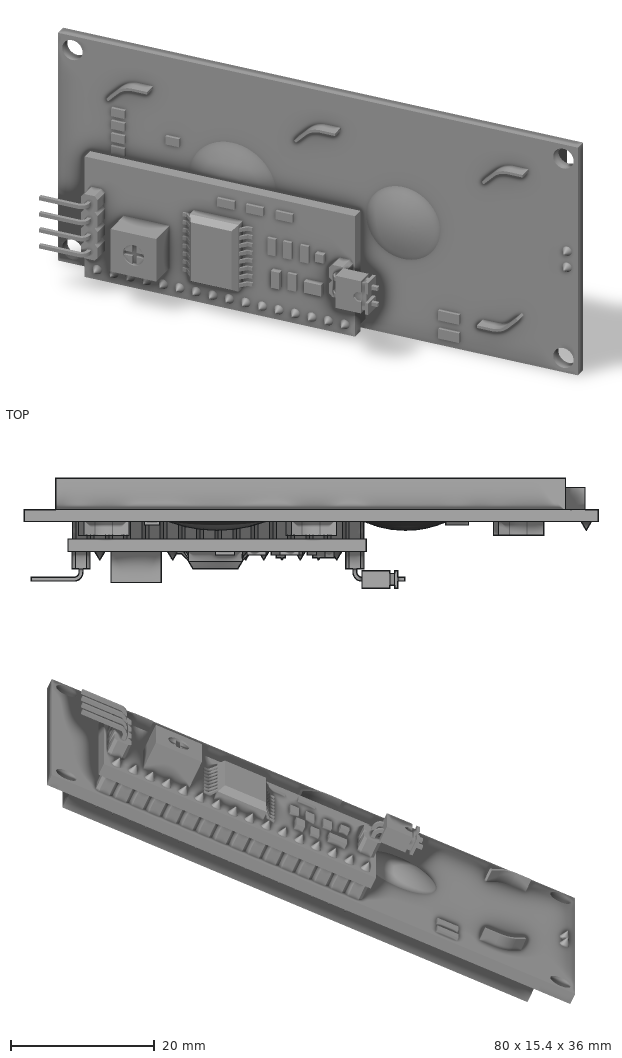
import cadquery as cq
import math


BOARD_LENGTH = 80.0
BOARD_HEIGHT = 36.0
BOARD_THICK = 1.7
MOUNT_PITCH_X = 75.5
MOUNT_PITCH_Z = 31.5
MOUNT_HOLE_DIA = 3.1

BEZEL_LEFT = -35.6
BEZEL_RIGHT = 35.4
BEZEL_BOTTOM = -11.9
BEZEL_TOP = 14.9
BEZEL_DEPTH = 4.4
BACKLIGHT_RIGHT = 38.2
BACKLIGHT_HEIGHT = 12.8
BACKLIGHT_DEPTH = 3.1

TAB_PITCH = 28.9
TAB_LENGTH = 7.0
TAB_OUTER_Z = 12.9
TAB_THICK = 0.4
TAB_DEPTH = 1.9
TAB_FLAT = 2.3
TAB_BEND_ANGLE = 45
TAB_BEND_RUN = 2.3
TAB_BEND_DROP = TAB_BEND_RUN * math.tan(math.radians(TAB_BEND_ANGLE / 2))
TAB_TIP_RUN = 1.5

DOME_X = 13.1
DOME_HEIGHT = 1.2
LEFT_DOME_RADIUS = 6.7
RIGHT_DOME_RADIUS = 5.7

CONE_RADIUS = 0.7
CONE_HEIGHT = 1.2
ROW_COUNT = 16
ROW_LEFT = -32.0
ROW_SPAN = 38.1
ROW_Z = -15.6
PIN_PITCH = ROW_SPAN / (ROW_COUNT - 1)
BACKLIGHT_PIN_X = 38.3
HEADER_WIDTH = 2.6
HEADER_CHAMFER = 0.5
HEADER_HEIGHT = 2.4

ADAPTER_LEFT = -33.9
ADAPTER_RIGHT = 7.7
ADAPTER_BOTTOM = -17.2
ADAPTER_TOP = 1.8
ADAPTER_THICK = 1.8
ADAPTER_BACK_Y = -HEADER_HEIGHT
ADAPTER_FACE_Y = ADAPTER_BACK_Y - ADAPTER_THICK

PIN_SIZE = 0.6
PIN_RISE = 3.8
PIN_BEND_RADIUS = 1.0
HEADERS_Z = -7.8
BUS_HEADER_X = -32.1
BUS_PIN_COUNT = 4
BUS_PIN_TIP_X = -39.0
JUMPER_HEADER_X = 6.1
JUMPER_PIN_COUNT = 2
JUMPER_PIN_TIP_X = 13.0

CAP_LEFT = 7.0
CAP_GROOVE_LEFT = 11.0
CAP_GROOVE_RIGHT = 11.6
CAP_RIGHT = 12.1
CAP_REACH = 5.1
CAP_OUTER_Y = ADAPTER_FACE_Y - CAP_REACH
CAP_THICK = 2.5
CAP_HEIGHT = JUMPER_PIN_COUNT * PIN_PITCH
CAP_GROOVE_DEPTH = 0.4
CAP_NOTCH_LEFT = 9.8
CAP_NOTCH_HEIGHT = 1.4
CAP_NOTCH_DEPTH = 0.3
CAP_NOTCH_CHAMFER = 0.5

TRIMMER_X = -24.4
TRIMMER_Z = -9.5
TRIMMER_LENGTH = 7.0
TRIMMER_HEIGHT = 6.7
TRIMMER_DEPTH = 4.3
SCREW_DIA = 3.2
SCREW_RECESS = 0.2
SCREW_SLOT_WIDTH = 0.6
SCREW_SLOT_DEPTH = 0.7

IC_X = -13.4
IC_Z = -8.1
IC_WIDTH = 7.5
IC_LENGTH = 10.6
IC_HEIGHT = 2.4
IC_CHAMFER_WIDTH = 0.6
IC_CHAMFER_DEPTH = 1.0
LEAD_COUNT = 8
LEAD_ROW_SPAN = 8.7
LEAD_WIDTH = 0.6
LEAD_THICK = 0.3
LEAD_REACH = 5.4
LEAD_FOOT = 0.6
LEAD_EXIT_HEIGHT = 1.3

CHIP_LOW = 0.5
CHIP_TALL = 0.9
MAIN_CHIP_LENGTH = 2.1
MAIN_CHIP_WIDTH = 1.3
MAIN_COLUMN_X = -30.6
MAIN_COLUMN_TOP_Z = 7.6
MAIN_COLUMN_PITCH = 2.0
MAIN_COLUMN_COUNT = 6
LONG_CHIP_LENGTH = 3.2
LONG_CHIP_WIDTH = 1.5
ADAPTER_CHIP_LENGTH = 2.6
ADAPTER_CHIP_WIDTH = 1.3
WIDE_CHIP_WIDTH = 1.8
MAIN_SINGLE_PLACE = (-22.2, 5.0)
LONG_CHIP_PLACES = [(20.3, -13.1), (20.3, -16.0)]
LYING_CHIP_PLACES = [(-12.0, -0.5), (-7.6, -0.5), (-3.0, -0.5)]
LOW_STANDING_PLACES = [(-5.0, -5.7), (-2.6, -5.7), (0.1, -5.7), (-1.8, -10.6)]
TALL_STANDING_PLACE = (-4.2, -10.6)
WIDE_CHIP_PLACE = (1.5, -10.6)
SQUARE_CHIP_PLACE = (2.6, -5.6)


def block(x, z, length, height, face_y, depth):
    """Box centred on (x, z) that rises from face_y towards -Y."""
    return cq.Workplane("XZ", origin=(x, face_y, z)).rect(length, height).extrude(depth)


def block_between(left, right, bottom, top, face_y, depth):
    """Box given by its edges that rises from face_y towards -Y."""
    return block((left + right) / 2, (bottom + top) / 2, right - left, top - bottom, face_y, depth)


def solder_cone(x, z, face_y, direction):
    """Pointed solder joint; direction is -1 or +1 along Y."""
    cone = cq.Solid.makeCone(
        CONE_RADIUS, 0, CONE_HEIGHT, cq.Vector(x, face_y, z), cq.Vector(0, direction, 0)
    )
    return cq.Workplane(cone)


def header_collar(x, z, length, height, face_y):
    """Octagonal plastic collar around one pin."""
    return block(x, z, length, height, face_y, HEADER_HEIGHT).edges("|Y").chamfer(HEADER_CHAMFER)


def centred_places(count, span, middle):
    """Evenly spaced places over a span about its middle."""
    return [middle - span / 2 + i * span / (count - 1) for i in range(count)]


def main_board():
    board = block(0, 0, BOARD_LENGTH, BOARD_HEIGHT, BOARD_THICK, BOARD_THICK)
    holes = (
        cq.Workplane("XZ", origin=(0, BOARD_THICK, 0))
        .rect(MOUNT_PITCH_X, MOUNT_PITCH_Z, forConstruction=True)
        .vertices()
        .circle(MOUNT_HOLE_DIA / 2)
        .extrude(BOARD_THICK)
    )
    return board.cut(holes)


def display():
    bezel = block_between(
        BEZEL_LEFT, BEZEL_RIGHT, BEZEL_BOTTOM, BEZEL_TOP, BOARD_THICK + BEZEL_DEPTH, BEZEL_DEPTH
    )
    backlight = block_between(
        BEZEL_RIGHT, BACKLIGHT_RIGHT, -BACKLIGHT_HEIGHT / 2, BACKLIGHT_HEIGHT / 2,
        BOARD_THICK + BACKLIGHT_DEPTH, BACKLIGHT_DEPTH,
    )
    return bezel.union(backlight)


def upper_tab(x):
    """Strip with a flat right end, a 45 degree bend and a straight tip at the lower left."""
    right = x + TAB_LENGTH / 2
    bend_start = right - TAB_FLAT
    bend_end = bend_start - TAB_BEND_RUN
    tip = bend_end - TAB_TIP_RUN
    middle_z = TAB_OUTER_Z - TAB_THICK / 2
    bend_end_z = middle_z - TAB_BEND_DROP
    centreline = (
        cq.Workplane("XZ", origin=(0, -TAB_DEPTH / 2, 0))
        .moveTo(right, middle_z)
        .lineTo(bend_start, middle_z)
        .tangentArcPoint((bend_end, bend_end_z), relative=False)
        .lineTo(tip, bend_end_z - TAB_TIP_RUN)
    )
    return (
        cq.Workplane("YZ", origin=(right, -TAB_DEPTH / 2, middle_z))
        .rect(TAB_DEPTH, TAB_THICK)
        .sweep(centreline, transition="right")
    )


def tabs():
    """Three tabs along the top and the same three turned half a turn along the bottom."""
    upper = [upper_tab(x) for x in (-TAB_PITCH, 0, TAB_PITCH)]
    lower = [tab.rotate((0, 0, 0), (0, 1, 0), 180) for tab in upper]
    return upper + lower


def dome(x, radius):
    """Spherical cap on the component face of the main board."""
    sphere_radius = (radius ** 2 + DOME_HEIGHT ** 2) / (2 * DOME_HEIGHT)
    profile = (
        cq.Workplane("XY", origin=(x, 0, 0))
        .lineTo(radius, 0)
        .radiusArc((0, -DOME_HEIGHT), sphere_radius)
        .close()
    )
    return profile.revolve(360, (0, 0, 0), (0, 1, 0))


def main_chips():
    places = [(MAIN_COLUMN_X, MAIN_COLUMN_TOP_Z - i * MAIN_COLUMN_PITCH) for i in range(MAIN_COLUMN_COUNT)]
    places.append(MAIN_SINGLE_PLACE)
    chips = [block(x, z, MAIN_CHIP_LENGTH, MAIN_CHIP_WIDTH, 0, CHIP_LOW) for x, z in places]
    chips += [block(x, z, LONG_CHIP_LENGTH, LONG_CHIP_WIDTH, 0, CHIP_LOW) for x, z in LONG_CHIP_PLACES]
    return chips


def adapter_chips():
    length = ADAPTER_CHIP_LENGTH
    width = ADAPTER_CHIP_WIDTH
    chips = [block(x, z, length, width, ADAPTER_FACE_Y, CHIP_LOW) for x, z in LYING_CHIP_PLACES]
    chips += [block(x, z, width, length, ADAPTER_FACE_Y, CHIP_LOW) for x, z in LOW_STANDING_PLACES]
    chips.append(block(*TALL_STANDING_PLACE, width, length, ADAPTER_FACE_Y, CHIP_TALL))
    chips.append(block(*WIDE_CHIP_PLACE, length, WIDE_CHIP_WIDTH, ADAPTER_FACE_Y, CHIP_TALL))
    chips.append(block(*SQUARE_CHIP_PLACE, width, width, ADAPTER_FACE_Y, CHIP_TALL))
    return chips


def row_header():
    """Sixteen-pin row that joins the two boards, with solder cones on both outer faces."""
    pieces = []
    for x in centred_places(ROW_COUNT, ROW_SPAN, ROW_LEFT + ROW_SPAN / 2):
        pieces.append(header_collar(x, ROW_Z, PIN_PITCH, HEADER_WIDTH, 0))
        pieces.append(solder_cone(x, ROW_Z, ADAPTER_FACE_Y, -1))
        pieces.append(solder_cone(x, ROW_Z, BOARD_THICK, 1))
    return pieces


def bent_pin(x, z, tip_x):
    """Square pin that leaves its collar towards -Y and turns towards tip_x."""
    side = math.copysign(1, tip_x - x)
    collar_y = ADAPTER_FACE_Y - HEADER_HEIGHT
    pin_y = ADAPTER_FACE_Y - PIN_RISE
    path = (
        cq.Workplane("XY", origin=(0, 0, z))
        .moveTo(x, collar_y)
        .lineTo(x, pin_y + PIN_BEND_RADIUS)
        .tangentArcPoint((x + side * PIN_BEND_RADIUS, pin_y), relative=False)
        .lineTo(tip_x, pin_y)
    )
    return cq.Workplane("XZ", origin=(x, collar_y, z)).rect(PIN_SIZE, PIN_SIZE).sweep(path)


def angled_header(x, count, tip_x):
    """Column of collars on the adapter board, each with a bent pin."""
    pieces = []
    for z in centred_places(count, (count - 1) * PIN_PITCH, HEADERS_Z):
        pieces.append(header_collar(x, z, HEADER_WIDTH, PIN_PITCH, ADAPTER_FACE_Y))
        pieces.append(bent_pin(x, z, tip_x))
    return pieces


def jumper_cap():
    """Cap on the two-pin header: grooved near its open end and notched in the middle."""
    back_y = CAP_OUTER_Y + CAP_THICK
    bottom = HEADERS_Z - CAP_HEIGHT / 2
    top = HEADERS_Z + CAP_HEIGHT / 2
    cap = block_between(CAP_LEFT, CAP_RIGHT, bottom, top, back_y, CAP_THICK)
    groove = block_between(CAP_GROOVE_LEFT, CAP_GROOVE_RIGHT, bottom, top, back_y, CAP_THICK)
    neck = block_between(
        CAP_GROOVE_LEFT, CAP_GROOVE_RIGHT, bottom + CAP_GROOVE_DEPTH, top - CAP_GROOVE_DEPTH,
        back_y - CAP_GROOVE_DEPTH, CAP_THICK - 2 * CAP_GROOVE_DEPTH,
    )
    notch_bottom = HEADERS_Z - CAP_NOTCH_HEIGHT / 2
    notch_top = HEADERS_Z + CAP_NOTCH_HEIGHT / 2
    notch = block_between(
        CAP_NOTCH_LEFT, CAP_RIGHT, notch_bottom, notch_top, CAP_OUTER_Y + CAP_NOTCH_DEPTH, CAP_NOTCH_DEPTH
    )
    notch = notch.edges("|Y and <X").chamfer(CAP_NOTCH_CHAMFER)
    flange_gap = block_between(CAP_GROOVE_RIGHT, CAP_RIGHT, notch_bottom, notch_top, back_y, CAP_THICK)
    return cap.cut(groove).union(neck).cut(notch).cut(flange_gap)


def adapter_board():
    return block_between(
        ADAPTER_LEFT, ADAPTER_RIGHT, ADAPTER_BOTTOM, ADAPTER_TOP, ADAPTER_BACK_Y, ADAPTER_THICK
    )


def trimmer():
    """Square potentiometer with a recessed cross-slotted screw."""
    outer_y = ADAPTER_FACE_Y - TRIMMER_DEPTH
    body = block(TRIMMER_X, TRIMMER_Z, TRIMMER_LENGTH, TRIMMER_HEIGHT, ADAPTER_FACE_Y, TRIMMER_DEPTH)
    face = cq.Workplane("XZ", origin=(TRIMMER_X, outer_y, TRIMMER_Z))
    recess = face.circle(SCREW_DIA / 2).extrude(-SCREW_RECESS)
    cross = face.rect(SCREW_DIA, SCREW_SLOT_WIDTH).extrude(-SCREW_SLOT_DEPTH)
    cross = cross.union(face.rect(SCREW_SLOT_WIDTH, SCREW_DIA).extrude(-SCREW_SLOT_DEPTH))
    cross = cross.intersect(face.circle(SCREW_DIA / 2).extrude(-SCREW_SLOT_DEPTH))
    return body.cut(recess).cut(cross)


def gull_wing_lead(z):
    """Lead on the -X side: a flat foot and a slope up to the body."""
    body_edge = IC_X - IC_WIDTH / 2
    toe = IC_X - LEAD_REACH
    heel = toe + LEAD_FOOT
    outline = [
        (toe, 0),
        (heel + LEAD_THICK, 0),
        (body_edge, -LEAD_EXIT_HEIGHT + LEAD_THICK),
        (body_edge, -LEAD_EXIT_HEIGHT),
        (heel, -LEAD_THICK),
        (toe, -LEAD_THICK),
    ]
    lead = cq.Workplane("XY", origin=(0, ADAPTER_FACE_Y, z)).polyline(outline).close()
    return lead.extrude(LEAD_WIDTH / 2, both=True)


def integrated_circuit():
    """Chip body with a bevelled top and a row of leads along each long side."""
    body = block(IC_X, IC_Z, IC_WIDTH, IC_LENGTH, ADAPTER_FACE_Y, IC_HEIGHT)
    body = body.faces("<Y").edges().chamfer(IC_CHAMFER_DEPTH, IC_CHAMFER_WIDTH)
    pieces = [body]
    for z in centred_places(LEAD_COUNT, LEAD_ROW_SPAN, IC_Z):
        lead = gull_wing_lead(z)
        pieces.append(lead)
        pieces.append(lead.mirror("YZ", (IC_X, 0, 0)))
    return pieces


parts = [display(), dome(-DOME_X, LEFT_DOME_RADIUS), dome(DOME_X, RIGHT_DOME_RADIUS)]
parts += tabs()
parts += main_chips()
parts += [solder_cone(BACKLIGHT_PIN_X, z, 0, -1) for z in (-PIN_PITCH / 2, PIN_PITCH / 2)]
parts += row_header()
parts += [adapter_board(), trimmer(), jumper_cap()]
parts += adapter_chips()
parts += integrated_circuit()
parts += angled_header(BUS_HEADER_X, BUS_PIN_COUNT, BUS_PIN_TIP_X)
parts += angled_header(JUMPER_HEADER_X, JUMPER_PIN_COUNT, JUMPER_PIN_TIP_X)

shapes = [part.val() for part in parts]
result = cq.Workplane(main_board().val().fuse(*shapes).clean()).solids()